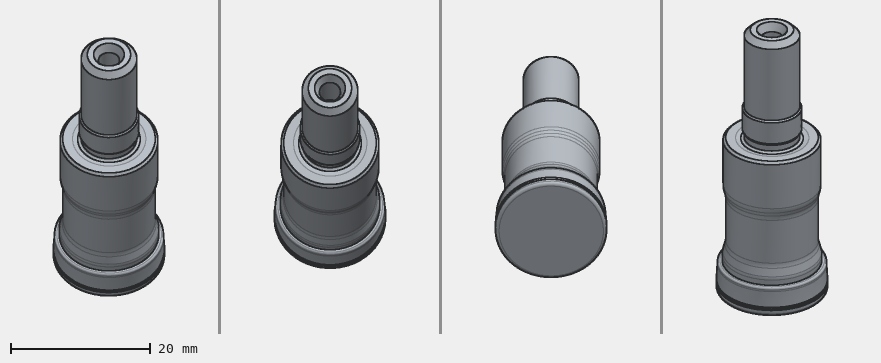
import cadquery as cq
import math

total_height = 43.0
flange_radius = 15.95 / 2

rod_radius = 4.0
rod_tip_chamfer = 0.9
collar_radius = 4.25
collar_step = collar_radius - rod_radius
collar_top = 30.27
collar_bottom = 26.15
collar_lower_chamfer = 0.4
foot_radius = 4.47
foot_fillet = 0.25
foot_flare_mid_radius = 4.13
foot_flare_mid_rise = 0.1
foot_depth = 4.3

bore_radius = 1.5
bore_mouth_radius = 2.2
bore_mouth_depth = 1.25
bore_depth = 6.9
bore_tip_angle = 118.0

cylinder_top = 25.05
head_radius = 7.0
head_chamfer = 0.4
waist_radius = 13.3 / 2
skirt_radius = 7.15
countersink_radius = 5.25
countersink_depth = 0.15
seat_top = cylinder_top - countersink_depth
seat_bottom = seat_top - foot_depth

taper_angle = math.radians(15.0)
blend_radius = 3.0
skirt_blend_radius = 1.95
head_bottom = 17.4
waist_bottom = 8.13

flange_top = 4.75
flange_rim_radius = 7.83
flange_top_fillet = 0.35
flange_land_bottom = 4.13
groove_top = 1.55
groove_bottom = 1.05
groove_root = 1.2
groove_depth = 0.15
flange_base_fillet = 0.5


def revolve(profile):
    """Turn an (r, z) outline into a solid of revolution about Z."""
    return profile.close().revolve(360, (0, 0, 0), (0, 1, 0))


def blend_steps(radius):
    """Radial and axial extent of a blend that turns from vertical to the taper angle."""
    return radius * (1 - math.cos(taper_angle)), radius * math.sin(taper_angle)


def blend_middle(radius):
    """Radial and axial distance from the vertical end of a blend to its midpoint."""
    half_angle = taper_angle / 2
    return radius * (1 - math.cos(half_angle)), radius * math.sin(half_angle)


def add_taper(profile, start, end_radius, start_blend, end_blend):
    """Extend the outline downward by a blended cone between two vertical walls."""
    start_radius, start_z = start
    side = math.copysign(1, end_radius - start_radius)
    start_dr, start_dz = blend_steps(start_blend)
    end_dr, end_dz = blend_steps(end_blend)
    cone_dr = abs(end_radius - start_radius) - start_dr - end_dr
    cone_start_z = start_z - start_dz
    cone_end_z = cone_start_z - cone_dr / math.tan(taper_angle)
    end_z = cone_end_z - end_dz
    start_mid_dr, start_mid_dz = blend_middle(start_blend)
    end_mid_dr, end_mid_dz = blend_middle(end_blend)
    return (
        profile.lineTo(start_radius, start_z)
        .threePointArc(
            (start_radius + side * start_mid_dr, start_z - start_mid_dz),
            (start_radius + side * start_dr, cone_start_z),
        )
        .lineTo(end_radius - side * end_dr, cone_end_z)
        .threePointArc(
            (end_radius - side * end_mid_dr, end_z + end_mid_dz),
            (end_radius, end_z),
        )
    )


def make_rod():
    bore_tip = bore_radius / math.tan(math.radians(bore_tip_angle / 2))
    profile = (
        cq.Workplane("XZ")
        .moveTo(0, seat_bottom)
        .lineTo(foot_radius, seat_bottom)
        .lineTo(foot_radius, seat_top)
        .threePointArc(
            (foot_flare_mid_radius, seat_top + foot_flare_mid_rise),
            (rod_radius, seat_top + foot_fillet),
        )
        .lineTo(rod_radius, collar_bottom)
        .lineTo(collar_radius, collar_bottom + collar_lower_chamfer)
        .lineTo(collar_radius, collar_top - collar_step)
        .lineTo(rod_radius, collar_top)
        .lineTo(rod_radius, total_height - rod_tip_chamfer)
        .lineTo(rod_radius - rod_tip_chamfer, total_height)
        .lineTo(bore_mouth_radius, total_height)
        .lineTo(bore_radius, total_height - bore_mouth_depth)
        .lineTo(bore_radius, total_height - bore_depth)
        .lineTo(0, total_height - bore_depth - bore_tip)
    )
    return revolve(profile)


def add_flange(profile):
    """Extend the outline down the flange, around its groove, to the base."""
    arc_inset = 1 - math.sqrt(0.5)
    top_inset = flange_top_fillet * arc_inset
    base_inset = flange_base_fillet * arc_inset
    return (
        profile.lineTo(skirt_radius, flange_top)
        .lineTo(flange_rim_radius - flange_top_fillet, flange_top)
        .threePointArc(
            (flange_rim_radius - top_inset, flange_top - top_inset),
            (flange_rim_radius, flange_top - flange_top_fillet),
        )
        .lineTo(flange_rim_radius, flange_land_bottom)
        .lineTo(flange_radius, groove_top)
        .lineTo(flange_radius - groove_depth, groove_root)
        .lineTo(flange_radius, groove_bottom)
        .lineTo(flange_radius, flange_base_fillet)
        .threePointArc(
            (flange_radius - base_inset, base_inset),
            (flange_radius - flange_base_fillet, 0),
        )
        .lineTo(0, 0)
    )


def make_cylinder():
    profile = (
        cq.Workplane("XZ")
        .moveTo(0, seat_bottom)
        .lineTo(foot_radius, seat_bottom)
        .lineTo(foot_radius, seat_top)
        .lineTo(countersink_radius, cylinder_top)
        .lineTo(head_radius - head_chamfer, cylinder_top)
        .lineTo(head_radius, cylinder_top - head_chamfer)
    )
    profile = add_taper(profile, (head_radius, head_bottom), waist_radius, blend_radius, blend_radius)
    profile = add_taper(
        profile, (waist_radius, waist_bottom), skirt_radius, blend_radius, skirt_blend_radius
    )
    return revolve(add_flange(profile))


rod = make_rod()
cylinder = make_cylinder()
result = cq.Compound.makeCompound([rod.val(), cylinder.val()])